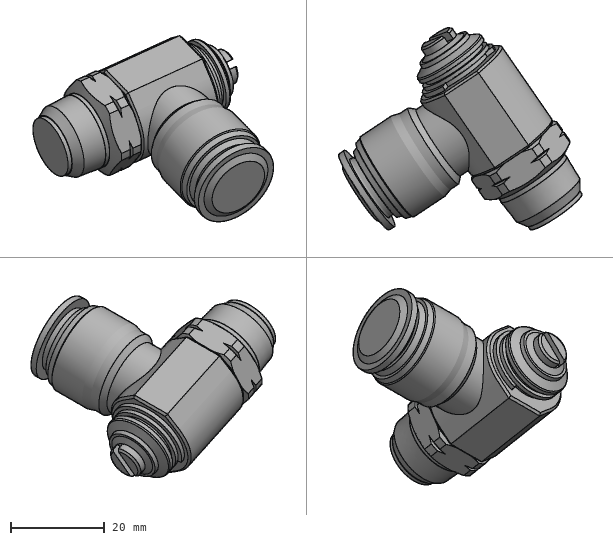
import cadquery as cq
import math


overall_length = 45.8
overall_width = 43.55
swivel_angle = 0.5

body_radius = 10.5
body_top = 10.05
body_bottom = -9.95
body_chamfer = 0.5

hex_across_flats = 20.05
hex_corner_radius = 11.05
hex_bottom = -17.0
hex_bottom_radius = 8.55
hex_corner_top = -10.6
hex_corner_bottom = -15.58
hex_top_radius = 10.25
score_centre = -13.0
score_root_radius = 10.4
score_width = 0.7

stem_end = 19.35
knob_radius = 4.0
knob_base = 17.3
knob_chamfer = 0.45
cap_radius = 8.25
cap_groove_radius = 7.25
cap_groove_bottom = 12.1
cap_groove_top = 13.15
cap_base = 11.2
cap_rim_top = 14.05
cap_shoulder = 14.45
cap_shoulder_radius = 8.05
cap_ring_bottom = 15.55
cap_ring_bottom_radius = 6.2
cap_ring_top = 16.5
cap_ring_top_radius = 6.0
cap_cone_radius = 5.35
slot_width = 1.7
slot_angle = 49.2
collar_radius = 9.05
collar_top = 11.05
collar_gap_reach = 11.0
collar_gap_end_angle = -65.0
collar_gap_outer_z = -0.82
collar_gap_corner = (-4.6, -2.7)

thread_start = -18.0
thread_relief_radius = 8.47
thread_start_radius = 8.55
thread_taper_change = -20.35
thread_middle_radius = 8.4
thread_end = -23.35
thread_end_radius = 8.25
nose_start = -25.5
nose_start_radius = 6.9
nose_radius = 6.75
stem_tip = stem_end - overall_length

branch_neck_radius = 8.5
sleeve_start = 12.35
shoulder_start = 13.65
shoulder_end = 15.7
sleeve_full_start = 17.55
sleeve_full_end = 25.55
sleeve_radius = 10.3
sleeve_tail_start = 25.8
sleeve_tail_start_radius = 10.05
sleeve_tail_end = 27.1
sleeve_tail_end_radius = 9.65
end_ring_radius = 8.95
end_ring_end_radius = 8.45
sleeve_shoulder_radius = 9.75
release_neck_start = 28.55
release_neck_end = 30.1
release_neck_radius = 7.4
release_flare_start = 29.65
release_flare_radius = 7.55
flange_radius = 9.75
flange_edge_start = 31.25
flange_face = 31.55
flange_face_radius = 9.65
flange_cone_radius = 8.2
branch_rim_radius = 6.75
branch_end = overall_width - hex_corner_radius - branch_rim_radius * math.sin(math.radians(swivel_angle))
window_length = 0.55
window_height = 1.0


def turned_about_y(points):
    """Revolve a (radius, y) outline about the stem axis."""
    return cq.Workplane("XY").polyline(points).close().revolve(360, (0, 0, 0), (0, 1, 0))


def turned_about_x(points):
    """Revolve an (x, radius) outline about the branch axis."""
    return cq.Workplane("XY").polyline(points).close().revolve(360, (0, 0, 0), (1, 0, 0))


def along_y(y_start):
    """Workplane across the stem: local x is X, local y is Z, extrusion goes toward -Y."""
    return cq.Workplane("XZ", origin=(0, y_start, 0))


def make_body():
    flat_half = body_radius * math.tan(math.radians(22.5))
    tangent = body_radius * math.cos(math.radians(45))
    outline = (
        along_y(body_top)
        .moveTo(-flat_half, body_radius)
        .lineTo(flat_half, body_radius)
        .lineTo(tangent, tangent)
        .threePointArc((body_radius, 0), (tangent, -tangent))
        .lineTo(flat_half, -body_radius)
        .lineTo(-flat_half, -body_radius)
        .lineTo(-tangent, -tangent)
        .threePointArc((-body_radius, 0), (-tangent, tangent))
        .close()
    )
    return outline.extrude(body_top - body_bottom).faces("<Y or >Y").chamfer(body_chamfer)


def make_nut():
    across_corners = hex_across_flats / math.cos(math.radians(30))
    prism = along_y(body_bottom).polygon(6, across_corners).extrude(body_bottom - hex_bottom)
    turned_envelope = turned_about_y([
        (0, body_bottom),
        (hex_top_radius, body_bottom),
        (hex_corner_radius, hex_corner_top),
        (hex_corner_radius, score_centre + score_width / 2),
        (score_root_radius, score_centre),
        (hex_corner_radius, score_centre - score_width / 2),
        (hex_corner_radius, hex_corner_bottom),
        (hex_bottom_radius, hex_bottom),
        (0, hex_bottom),
    ])
    return prism.intersect(turned_envelope)


def make_threaded_end():
    return turned_about_y([
        (0, hex_bottom),
        (thread_relief_radius, hex_bottom),
        (thread_relief_radius, thread_start),
        (thread_start_radius, thread_start),
        (thread_middle_radius, thread_taper_change),
        (thread_end_radius, thread_end),
        (nose_start_radius, nose_start),
        (nose_radius, nose_start),
        (nose_radius, stem_tip),
        (0, stem_tip),
    ])


def make_cap():
    cap = turned_about_y([
        (0, body_top),
        (cap_groove_radius, body_top),
        (cap_groove_radius, cap_base),
        (cap_radius, cap_base),
        (cap_radius, cap_groove_bottom),
        (cap_groove_radius, cap_groove_bottom),
        (cap_groove_radius, cap_groove_top),
        (cap_radius, cap_groove_top),
        (cap_radius, cap_rim_top),
        (cap_shoulder_radius, cap_shoulder),
        (cap_ring_bottom_radius, cap_ring_bottom),
        (cap_ring_top_radius, cap_ring_top),
        (cap_cone_radius, cap_ring_top),
        (knob_radius, knob_base),
        (knob_radius, stem_end - knob_chamfer),
        (knob_radius - knob_chamfer, stem_end),
        (0, stem_end),
    ])
    slot_depth = stem_end - knob_base
    slot = along_y(stem_end).rect(2 * cap_radius, slot_width).extrude(slot_depth)
    return cap.cut(slot.rotate((0, 0, 0), (0, 1, 0), -slot_angle))


def make_collar():
    height = collar_top - body_top
    ring = along_y(collar_top).circle(collar_radius).extrude(height)
    end_angle = math.radians(collar_gap_end_angle)
    gap_end = (
        collar_gap_reach * math.cos(end_angle),
        collar_gap_reach * math.sin(end_angle),
    )
    gap = (
        along_y(collar_top)
        .polyline([
            (-collar_gap_reach, collar_gap_outer_z),
            collar_gap_corner,
            (0, 0),
            gap_end,
            (-collar_gap_reach, -collar_gap_reach),
        ])
        .close()
        .extrude(height)
    )
    return ring.cut(gap)


def make_branch():
    branch = turned_about_x([
        (0, 0),
        (0, branch_neck_radius),
        (sleeve_start, branch_neck_radius),
        (shoulder_start, sleeve_shoulder_radius),
        (shoulder_end, sleeve_shoulder_radius),
        (sleeve_full_start, sleeve_radius),
        (sleeve_full_end, sleeve_radius),
        (sleeve_tail_start, sleeve_tail_start_radius),
        (sleeve_tail_end, sleeve_tail_end_radius),
        (sleeve_tail_end, end_ring_radius),
        (release_neck_start, end_ring_end_radius),
        (release_neck_start, release_neck_radius),
        (release_flare_start, release_neck_radius),
        (release_neck_end, release_flare_radius),
        (release_neck_end, flange_radius),
        (flange_edge_start, flange_radius),
        (flange_face, flange_face_radius),
        (flange_face, flange_cone_radius),
        (branch_end, branch_rim_radius),
        (branch_end, 0),
    ])
    window = cq.Workplane("XY").box(window_length, 2 * sleeve_radius, window_height)
    return branch.cut(window.translate((release_neck_start + window_length / 2, 0, 0)))


swivel_body = make_body().union(make_branch()).rotate((0, 0, 0), (0, 1, 0), swivel_angle)

result = (
    swivel_body
    .union(make_nut())
    .union(make_threaded_end())
    .union(make_cap())
    .union(make_collar())
)